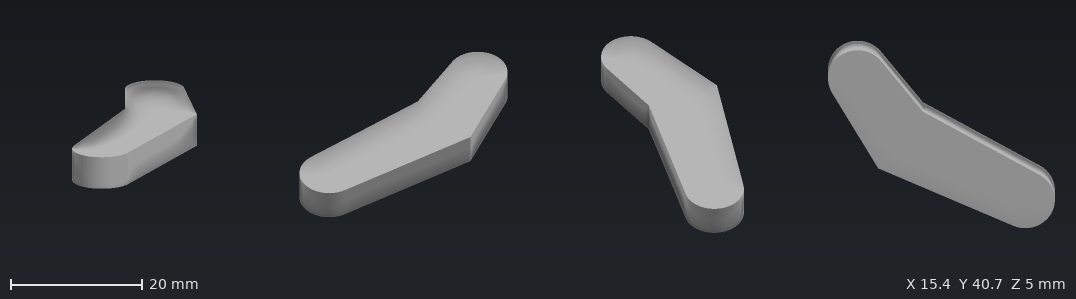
import cadquery as cq
import math

thickness = 5.0
end_radius = 4.5
overall_length = 40.7
overall_width = 15.4
end_offset_x = -4.2

lower_center = (0.0, 0.0)
upper_center = (end_offset_x, overall_length - 2 * end_radius)

inner_corner = (-end_radius, 20.43)
outer_corner = (end_offset_x - end_radius + overall_width, 21.95)


def point_on_end(center, angle):
    return (center[0] + end_radius * math.cos(angle), center[1] + end_radius * math.sin(angle))


def tangent_angle(center, corner, side):
    """Angle on a round end where the line from the corner touches it."""
    dx = corner[0] - center[0]
    dy = corner[1] - center[1]
    return math.atan2(dy, dx) + side * math.acos(end_radius / math.hypot(dx, dy))


lower_outer = point_on_end(lower_center, tangent_angle(lower_center, outer_corner, -1))
lower_inner = (-end_radius, 0.0)
upper_outer = point_on_end(upper_center, tangent_angle(upper_center, outer_corner, 1))
upper_inner = point_on_end(upper_center, tangent_angle(upper_center, inner_corner, -1))

lower_tip = point_on_end(lower_center, -math.pi / 2)
upper_tip = point_on_end(upper_center, math.pi / 2)

result = (
    cq.Workplane("XY")
    .moveTo(*lower_inner)
    .threePointArc(lower_tip, lower_outer)
    .lineTo(*outer_corner)
    .lineTo(*upper_outer)
    .threePointArc(upper_tip, upper_inner)
    .lineTo(*inner_corner)
    .close()
    .extrude(thickness)
)